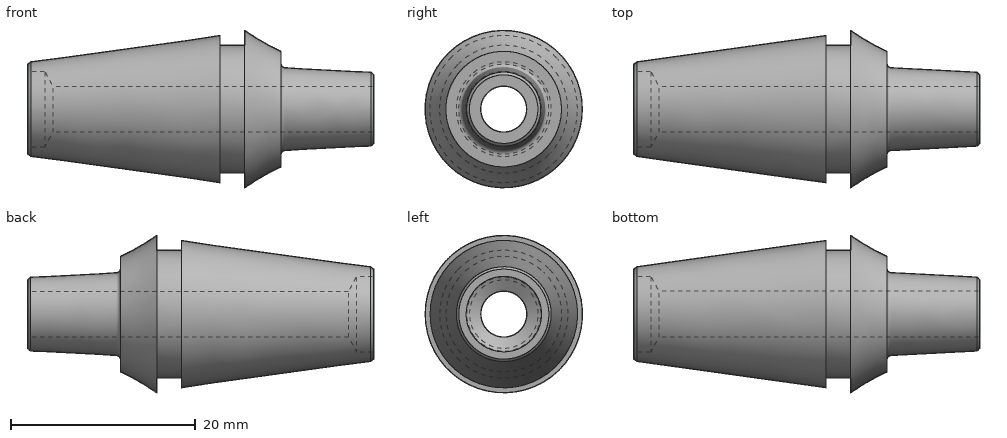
import cadquery as cq

length = 37.5
cone_end = 20.85
flange_start = 23.5
flange_end = 27.45

body_tip_radius = 5.15
body_base_radius = 8.0
body_tip_chamfer_length = 0.38
body_tip_chamfer_drop = 0.25

groove_radius = 6.95
flange_radius = 8.53
flange_mid_radius = 7.28
flange_end_radius = 6.25

spigot_base_radius = 4.5
spigot_tip_radius = 4.0
spigot_root_fillet = 0.45
spigot_tip_chamfer = 0.3

through_radius = 2.48
counterbore_radius = 4.1
counterbore_depth = 1.88
bore_cone_length = 0.85


def revolve_about_x(profile):
    return profile.close().revolve(360, (0, 0, 0), (1, 0, 0))


def make_body():
    """Tapered body and groove neck with a chamfered front rim."""
    profile = (
        cq.Workplane("XY")
        .lineTo(0, body_tip_radius - body_tip_chamfer_drop)
        .lineTo(body_tip_chamfer_length, body_tip_radius)
        .lineTo(cone_end, body_base_radius)
        .lineTo(cone_end, groove_radius)
        .lineTo(flange_start, groove_radius)
        .lineTo(flange_start, 0)
    )
    return revolve_about_x(profile)


def make_flange():
    """Flange with a slightly hollow flank narrowing towards the spigot."""
    flange_mid = (flange_start + flange_end) / 2
    profile = (
        cq.Workplane("XY")
        .moveTo(flange_start, 0)
        .lineTo(flange_start, flange_radius)
        .threePointArc((flange_mid, flange_mid_radius), (flange_end, flange_end_radius))
        .lineTo(flange_end, 0)
    )
    return revolve_about_x(profile)


def make_spigot():
    """Tapered spigot with a flared root and a chamfered tip."""
    root_end = flange_end + spigot_root_fillet
    profile = (
        cq.Workplane("XY")
        .moveTo(flange_end, 0)
        .lineTo(flange_end, spigot_base_radius + spigot_root_fillet)
        .radiusArc((root_end, spigot_base_radius), -spigot_root_fillet)
        .lineTo(length - spigot_tip_chamfer, spigot_tip_radius)
        .lineTo(length, spigot_tip_radius - spigot_tip_chamfer)
        .lineTo(length, 0)
    )
    return revolve_about_x(profile)


def make_bore():
    """Through bore widened by a counterbore with a conical floor."""
    profile = (
        cq.Workplane("XY")
        .lineTo(0, counterbore_radius)
        .lineTo(counterbore_depth, counterbore_radius)
        .lineTo(counterbore_depth + bore_cone_length, through_radius)
        .lineTo(length, through_radius)
        .lineTo(length, 0)
    )
    return revolve_about_x(profile)


result = make_body().union(make_flange()).union(make_spigot()).cut(make_bore())